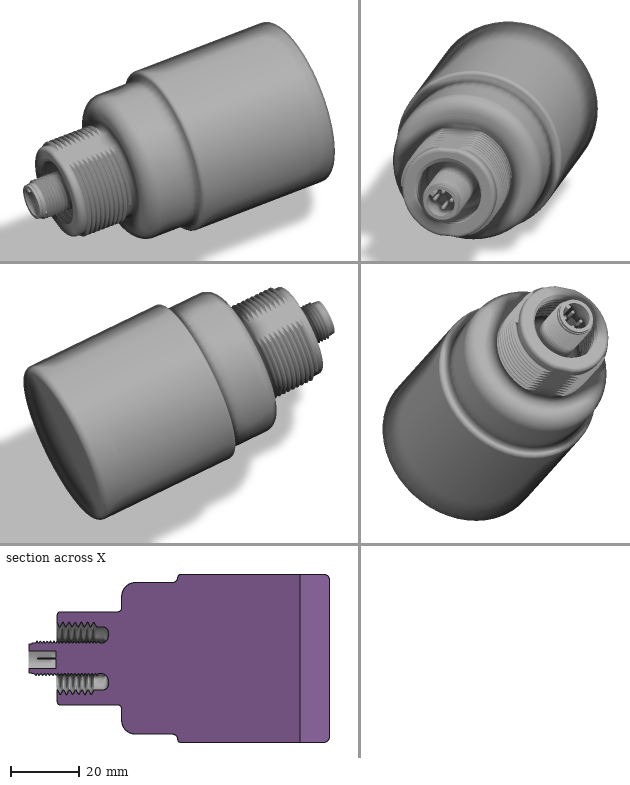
import cadquery as cq
import math


body_radius = 24.99
body_length = 61.2
cap_length = 8.85
cap_edge_radius = 1.9
collar_radius = 22.55
collar_length = 16.45
collar_front_fillet = 4.2
step_outer_fillet = 1.1
step_inner_fillet = 1.4

nipple_length = 18.9
nipple_core_radius = 14.1
nipple_crest_radius = 14.99
nipple_flat_height = 13.75
nipple_end_fillet = 1.1
nipple_pitch = 1.5
nipple_thread_start = 2.0
nipple_thread_turns = 9.5

bore_radius = 9.685
bore_groove_radius = 11.1
bore_depth = 15.0
bore_floor_fillet = 1.55
bore_pitch = 1.81
bore_turns_inside = 6.25
bore_turns_outside = 1

plug_core_radius = 5.44
plug_crest_radius = 6.0
plug_tip_radius = 5.26
plug_tip_length = 0.9
plug_root_fillet = 1.95
plug_protrusion = 8.3
plug_pitch = 1.0
plug_thread_turns = 19
plug_thread_inset = 1.8

socket_radius = 4.2
socket_depth = 8.0
key_width = 1.2
key_inner_radius = 3.0
key_angle = 135
pin_radius = 0.5
pin_circle_radius = 2.5
pin_count = 4
pin_recess = 2.4
pin_end_fillet = 0.3

root_share = 0.85
thread_overlap = 0.1

cap_joint = body_length - cap_length
bore_floor = bore_depth - nipple_length
plug_tip = -nipple_length - plug_protrusion
socket_floor = plug_tip + socket_depth
arc_mid = math.sqrt(0.5)


def front_cylinder(radius, back, front):
    """Cylinder on the part axis from Y = back to Y = front, front being the smaller."""
    return cq.Workplane("XZ", origin=(0, back, 0)).circle(radius).extrude(back - front)


def helical_thread(root_radius, tip_radius, pitch, turns, start):
    """Right-hand V thread that starts at +X, Y = start and runs toward -Y.

    Its flanks run on a little past the root radius, so it merges with what it joins or cuts.
    """
    half_root = root_share * pitch / 2
    foot = root_radius - math.copysign(thread_overlap, tip_radius - root_radius)
    half_foot = half_root * (tip_radius - foot) / (tip_radius - root_radius)
    path = cq.Workplane(obj=cq.Wire.makeHelix(pitch, pitch * turns, root_radius))
    profile = [(foot, -half_foot), (tip_radius, 0), (foot, half_foot)]
    thread = cq.Workplane("XZ").polyline(profile).close().sweep(path, isFrenet=True)
    return thread.rotate((0, 0, 0), (1, 0, 0), 90).translate((0, start, 0))


def make_cap():
    cap = front_cylinder(body_radius, body_length, cap_joint)
    return cap.faces(">Y").edges().fillet(cap_edge_radius)


def housing_shell():
    """Body and collar, with a rounded step between them."""
    front_bend = collar_radius - collar_front_fillet
    front_mid = collar_front_fillet * arc_mid
    inner_bend = collar_radius + step_inner_fillet
    inner_centre = collar_length - step_inner_fillet
    inner_mid = step_inner_fillet * arc_mid
    outer_bend = body_radius - step_outer_fillet
    outer_centre = collar_length + step_outer_fillet
    outer_mid = step_outer_fillet * arc_mid
    return (
        cq.Workplane("XY")
        .moveTo(0, 0)
        .lineTo(front_bend, 0)
        .threePointArc(
            (front_bend + front_mid, collar_front_fillet - front_mid),
            (collar_radius, collar_front_fillet),
        )
        .lineTo(collar_radius, inner_centre)
        .threePointArc(
            (inner_bend - inner_mid, inner_centre + inner_mid),
            (inner_bend, collar_length),
        )
        .lineTo(outer_bend, collar_length)
        .threePointArc(
            (outer_bend + outer_mid, outer_centre - outer_mid),
            (body_radius, outer_centre),
        )
        .lineTo(body_radius, cap_joint)
        .lineTo(0, cap_joint)
        .close()
        .revolve(360, (0, 0, 0), (0, 1, 0))
    )


def threaded_nipple():
    core = front_cylinder(nipple_core_radius, 0, -nipple_length)
    ridge = helical_thread(
        nipple_core_radius,
        nipple_crest_radius,
        nipple_pitch,
        nipple_thread_turns,
        -nipple_thread_start,
    )
    return core.union(ridge)


def threaded_bore(nipple):
    """Cut a blind bore with a rounded floor corner and a thread that runs out of the nipple end."""
    bore = front_cylinder(bore_radius, bore_floor, -nipple_length)
    bore = bore.faces(">Y").edges().fillet(bore_floor_fillet)
    turns = bore_turns_inside + bore_turns_outside
    start = bore_turns_inside * bore_pitch - nipple_length
    groove = helical_thread(bore_radius, bore_groove_radius, bore_pitch, turns, start)
    return nipple.cut(bore).cut(groove)


def plug_core():
    """Plain plug with a flared root on the bore floor and a slightly reduced tip."""
    tip_start = plug_tip + plug_tip_length
    root_end = bore_floor - plug_root_fillet
    root_inset = plug_root_fillet * (1 - arc_mid)
    return (
        cq.Workplane("XY")
        .moveTo(0, plug_tip)
        .lineTo(plug_tip_radius, plug_tip)
        .lineTo(plug_tip_radius, tip_start)
        .lineTo(plug_core_radius, tip_start)
        .lineTo(plug_core_radius, root_end)
        .threePointArc(
            (plug_core_radius + root_inset, bore_floor - root_inset),
            (plug_core_radius + plug_root_fillet, bore_floor),
        )
        .lineTo(0, bore_floor)
        .close()
        .revolve(360, (0, 0, 0), (0, 1, 0))
    )


def keyed_socket():
    """Round cavity less the coding key that stands inward from its wall."""
    key = (
        cq.Workplane("XZ", origin=(0, socket_floor, 0))
        .transformed(rotate=(0, 0, key_angle))
        .center((key_inner_radius + plug_core_radius) / 2, 0)
        .rect(plug_core_radius - key_inner_radius, key_width)
        .extrude(socket_depth)
    )
    return front_cylinder(socket_radius, socket_floor, plug_tip).cut(key)


def contact_pins():
    return (
        cq.Workplane("XZ", origin=(0, socket_floor, 0))
        .polarArray(pin_circle_radius, 0, 360, pin_count)
        .circle(pin_radius)
        .extrude(socket_depth - pin_recess)
        .faces("<Y")
        .edges()
        .fillet(pin_end_fillet)
    )


def threaded_plug():
    thread_start = plug_tip + plug_thread_inset + plug_thread_turns * plug_pitch
    ridge = helical_thread(
        plug_core_radius, plug_crest_radius, plug_pitch, plug_thread_turns, thread_start
    )
    plug = plug_core().union(ridge).cut(keyed_socket())
    return plug.union(contact_pins(), glue=True)


def cut_flats(connector):
    slab = cq.Workplane("XZ").rect(3 * nipple_crest_radius, 2 * nipple_flat_height)
    return connector.intersect(slab.extrude(-plug_tip))


def round_nipple_ends(housing):
    """Fillet the nipple outline at the shoulder and at the free end."""

    def on_outline(edge):
        box = edge.BoundingBox()
        beyond_bore = max(box.zmax, -box.zmin) > bore_groove_radius + nipple_end_fillet
        return beyond_bore and box.xmax < nipple_crest_radius

    for end in (0, -nipple_length):
        slice_box = cq.selectors.BoxSelector(
            (-body_radius, end - nipple_end_fillet, -body_radius),
            (body_radius, end + nipple_end_fillet, body_radius),
            boundingbox=True,
        )
        outline = housing.edges(slice_box).filter(on_outline)
        housing = outline.fillet(nipple_end_fillet)
    return housing


def make_housing():
    nipple = threaded_bore(threaded_nipple())
    connector = cut_flats(nipple.union(threaded_plug(), glue=True))
    return round_nipple_ends(housing_shell().union(connector))


cap = make_cap()
housing = make_housing()

result = cq.Compound.makeCompound([cap.val(), housing.val()])